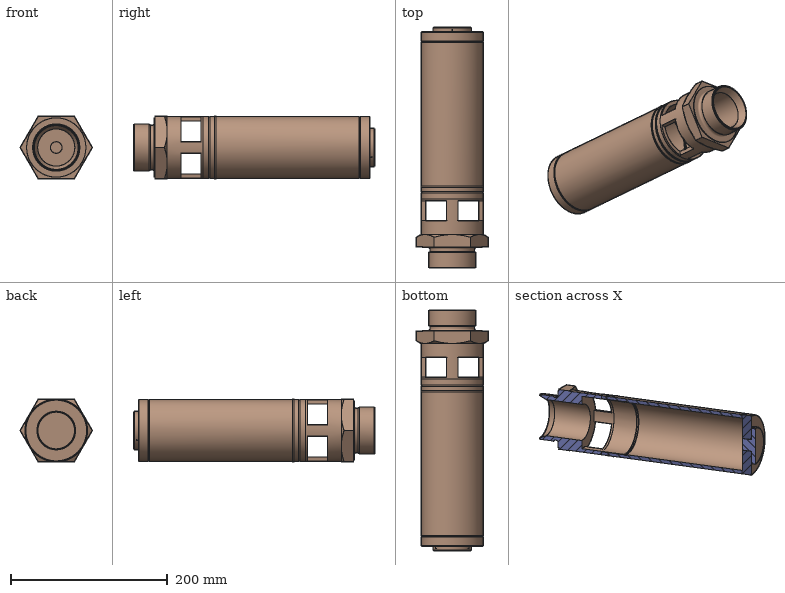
import cadquery as cq
import math

overall_length = 307.5

thread_radius = 30.0
thread_chamfer = 1.0
thread_end = 19.7
neck_radius = 28.5
neck_start = 21.2
neck_fillet = 2.5
washer_radius = 37.8
washer_start = 26.0
hex_start = 27.0
hex_end = 42.8
hex_across_flats = 80.0
hex_chamfer_angle = 30.0
mouth_radius = 28.0
mouth_depth = 9.8
inlet_radius = 23.7

body_radius = 39.7
cage_bore_radius = 34.5
window_start = 60.5
window_end = 85.8
post_half_width = 7.0
window_centre_offset = 38.8
cage_end = 88.3
spigot_radius = 35.7
spigot_end = 121.2

tube_groove_start = 95.7
tube_groove_width = 1.8
tube_groove_depth = 0.5
ring_start = 103.0
ring_width = 1.8
ring_radius = hex_across_flats / 2
socket_end = 123.7
tube_bore_radius = cage_bore_radius
tube_end = 288.5
joint_chamfer = 1.0

cap_end = 301.8
cap_chamfer = 1.0

knob_radius = 24.5
knob_chamfer = 1.2
shaft_radius = 7.5
notch_count = 3
notch_width = 1.0
notch_height = 2.5
notch_depth = 1.5


def revolve_profile(points):
    """Turn a closed (radius, y) outline around the Y axis."""
    return cq.Workplane("XY").polyline(points).close().revolve(360, (0, 0, 0), (0, 1, 0))


def make_hexagon():
    """Hexagon with corners on X, chamfered on the cage side."""
    corner_diameter = hex_across_flats / math.cos(math.pi / 6)
    hexagon = (
        cq.Workplane("XZ", origin=(0, hex_start, 0))
        .polygon(6, corner_diameter)
        .extrude(hex_start - hex_end)
    )
    hex_top_radius = hex_across_flats / 2
    slope = math.tan(math.radians(hex_chamfer_angle))
    cone_base_radius = hex_top_radius + (hex_end - hex_start) / slope
    cone = revolve_profile(
        [(0, hex_start), (cone_base_radius, hex_start), (hex_top_radius, hex_end), (0, hex_end)]
    )
    return hexagon.intersect(cone)


def make_inlet():
    """Threaded inlet with its undercut neck, filleted into the washer face."""
    chamfer_radius = thread_radius - thread_chamfer
    fillet_start = washer_start - neck_fillet
    fillet_radius = neck_radius + neck_fillet
    diagonal = neck_fillet * math.cos(math.pi / 4)
    fillet_middle = (fillet_radius - diagonal, fillet_start + diagonal)
    return (
        cq.Workplane("XY")
        .moveTo(0, 0)
        .lineTo(chamfer_radius, 0)
        .lineTo(thread_radius, thread_chamfer)
        .lineTo(thread_radius, thread_end)
        .lineTo(neck_radius, neck_start)
        .lineTo(neck_radius, fillet_start)
        .threePointArc(fillet_middle, (fillet_radius, washer_start))
        .lineTo(washer_radius, washer_start)
        .lineTo(washer_radius, hex_start)
        .lineTo(0, hex_start)
        .close()
        .revolve(360, (0, 0, 0), (0, 1, 0))
    )


def make_cage():
    """Plain cage with the spigot that enters the tube."""
    return revolve_profile(
        [
            (0, hex_end),
            (body_radius, hex_end),
            (body_radius, cage_end),
            (spigot_radius, cage_end),
            (spigot_radius, spigot_end),
            (0, spigot_end),
        ]
    )


def make_base_bore():
    """Tapered mouth, inlet bore and wide cage bore."""
    return revolve_profile(
        [
            (0, 0),
            (mouth_radius, 0),
            (inlet_radius, mouth_depth),
            (inlet_radius, window_start),
            (cage_bore_radius, window_start),
            (cage_bore_radius, spigot_end),
            (0, spigot_end),
        ]
    )


def make_windows():
    """Four round cutters on the diagonals that leave slightly flared posts on X and Z."""
    return (
        cq.Workplane("XZ", origin=(0, window_start, 0))
        .rect(2 * window_centre_offset, 2 * window_centre_offset, forConstruction=True)
        .vertices()
        .circle(window_centre_offset - post_half_width)
        .extrude(window_start - window_end)
    )


def make_base():
    solid = make_inlet().union(make_hexagon()).union(make_cage())
    return solid.cut(make_base_bore()).cut(make_windows())


def make_tube():
    """Long tube with a groove and a raised ring, socketed over the base spigot.

    The socket is deeper than the spigot, which leaves a narrow gap inside.
    """
    groove_radius = body_radius - tube_groove_depth
    groove_end = tube_groove_start + tube_groove_width
    ring_end = ring_start + ring_width
    return revolve_profile(
        [
            (spigot_radius, cage_end),
            (body_radius, cage_end),
            (body_radius, tube_groove_start),
            (groove_radius, tube_groove_start),
            (groove_radius, groove_end),
            (body_radius, groove_end),
            (body_radius, ring_start),
            (ring_radius, ring_start),
            (ring_radius, ring_end),
            (body_radius, ring_end),
            (body_radius, tube_end - joint_chamfer),
            (body_radius - joint_chamfer, tube_end),
            (tube_bore_radius, tube_end),
            (tube_bore_radius, socket_end),
            (spigot_radius, socket_end),
        ]
    )


def make_cap():
    """Closing cap, chamfered at both ends, with a hole for the knob shaft."""
    return revolve_profile(
        [
            (shaft_radius, tube_end),
            (body_radius - joint_chamfer, tube_end),
            (body_radius, tube_end + joint_chamfer),
            (body_radius, cap_end - cap_chamfer),
            (body_radius - cap_chamfer, cap_end),
            (shaft_radius, cap_end),
        ]
    )


def make_knob():
    """Round knob with a shaft through the cap and narrow notches around its foot."""
    knob = revolve_profile(
        [
            (0, tube_end),
            (shaft_radius, tube_end),
            (shaft_radius, cap_end),
            (knob_radius, cap_end),
            (knob_radius, overall_length - knob_chamfer),
            (knob_radius - knob_chamfer, overall_length),
            (0, overall_length),
        ]
    )
    notch = (
        cq.Workplane("XY")
        .box(notch_width, notch_height, 2 * notch_depth)
        .translate((0, cap_end + notch_height / 2, knob_radius))
    )
    for index in range(notch_count):
        knob = knob.cut(notch.rotate((0, 0, 0), (0, 1, 0), 360 / notch_count * index))
    return knob


base = make_base()
tube = make_tube()
cap = make_cap()
knob = make_knob()
result = cq.Compound.makeCompound([base.val(), tube.val(), cap.val(), knob.val()])